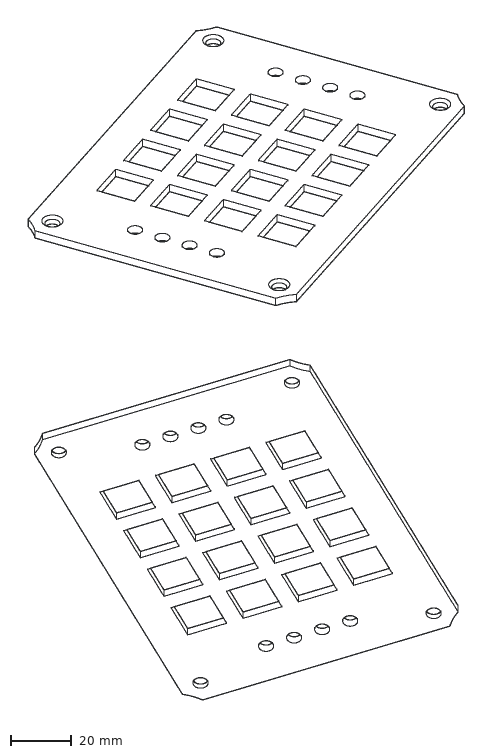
import cadquery as cq

width = 98.7
length = 133.8
thickness = 3.0

corner_setback = 5.1
corner_arc_sag = 0.33

key_columns = 4
key_rows = 4
key_size = 13.9
key_pitch = 19.8

small_hole_diameter = 5.0
small_holes_per_row = 4
small_hole_pitch = 10.0
small_row_spacing = 103.4

mount_diameter = 5.0
countersink_diameter = 7.0
countersink_angle = 90.0
mount_spacing_x = 83.5
mount_spacing_y = 118.4


def make_plate():
    """Rectangular plate with its four corners cut by concave arcs."""
    half_x = width / 2
    half_y = length / 2
    flat_x = half_x - corner_setback
    flat_y = half_y - corner_setback
    inset = corner_setback / 2 + corner_arc_sag / 2**0.5
    mid_x = half_x - inset
    mid_y = half_y - inset
    return (
        cq.Workplane("XY")
        .moveTo(-flat_x, -half_y)
        .lineTo(flat_x, -half_y)
        .threePointArc((mid_x, -mid_y), (half_x, -flat_y))
        .lineTo(half_x, flat_y)
        .threePointArc((mid_x, mid_y), (flat_x, half_y))
        .lineTo(-flat_x, half_y)
        .threePointArc((-mid_x, mid_y), (-half_x, flat_y))
        .lineTo(-half_x, -flat_y)
        .threePointArc((-mid_x, -mid_y), (-flat_x, -half_y))
        .close()
        .extrude(thickness)
    )


def cut_key_openings(plate):
    return (
        plate.faces(">Z").workplane(origin=(0, 0, thickness))
        .rarray(key_pitch, key_pitch, key_columns, key_rows)
        .rect(key_size, key_size)
        .cutThruAll()
    )


def cut_small_holes(plate):
    return (
        plate.faces(">Z").workplane(origin=(0, 0, thickness))
        .rarray(small_hole_pitch, small_row_spacing, small_holes_per_row, 2)
        .hole(small_hole_diameter)
    )


def cut_mounting_holes(plate):
    return (
        plate.faces(">Z").workplane(origin=(0, 0, thickness))
        .rarray(mount_spacing_x, mount_spacing_y, 2, 2)
        .cskHole(mount_diameter, countersink_diameter, countersink_angle)
    )


result = cut_mounting_holes(cut_small_holes(cut_key_openings(make_plate())))